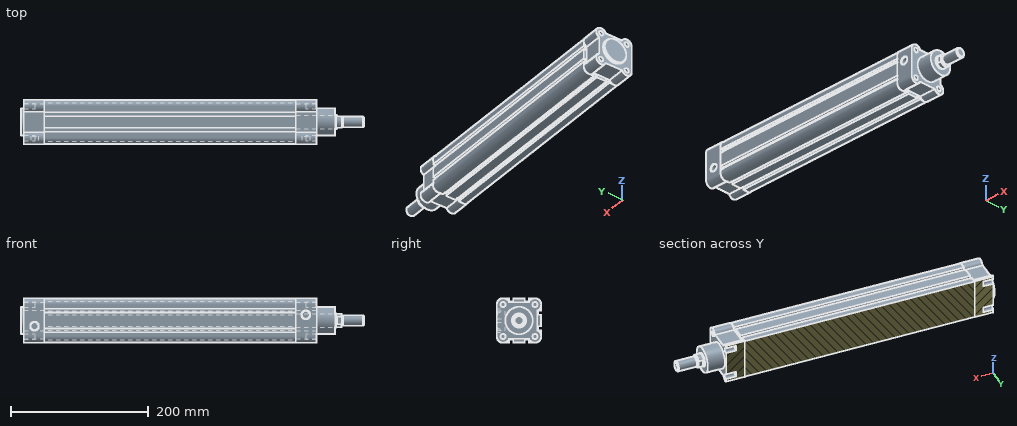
import cadquery as cq


body_size = 65.0
body_length = 426.0
cap_length = 30.0
barrel_size = 64.4
barrel_length = body_length - 2 * cap_length
rod_shoulder_reach = 36.5
rod_reach = 69.0
front_face_x = body_length
shoulder_x = front_face_x + rod_shoulder_reach
rod_end_x = front_face_x + rod_reach

half_size = body_size / 2
half_barrel = barrel_size / 2

bolt_pitch = 46.5
corner_radius = (body_size - bolt_pitch) / 2
bolt_hole_diameter = 7.5
bolt_hole_depth = 16.0
cap_recess_depth = 5.6
core_half = half_size - cap_recess_depth

boss_diameter = 40.0
rear_boss_length = 4.0
front_boss_length = 27.0
rear_boss_chamfer = 0.6
wiper_lip_diameter = 20.8
wiper_lip_length = 1.5

port_diameter = 11.4
port_depth = 12.0
port_offset_x = 15.7
port_offset_z = 8.25
port_chamfer = 0.8

slot_depth = 4.2
slot_inner = 8.6
slot_outer = 14.2
port_side_slot_inner = 11.2
port_side_slot_outer = 17.3
port_side_floor_inner = 12.2

rod_diameter = 20.0
wrench_flat_width = 17.0
wrench_flat_length = 6.5
neck_diameter = 14.0
neck_length = 1.6
thread_diameter = 16.0
thread_start_chamfer = 1.0
thread_end_chamfer = 1.5


def x_cylinder(diameter, start_x, end_x, y=0.0, z=0.0):
    """Cylinder along X from start_x to end_x."""
    plane = cq.Workplane("YZ", origin=(start_x, y, z))
    return plane.circle(diameter / 2).extrude(end_x - start_x)


def box_between(x_range, y_range, z_range):
    """Box given by its limits along each axis."""
    sizes = [high - low for low, high in (x_range, y_range, z_range)]
    corner = (x_range[0], y_range[0], z_range[0])
    return cq.Workplane("XY").box(*sizes, centered=False).translate(corner)


def make_cap_block(start_x):
    """Core with four round corner lobes; flat on the -Y face and recessed on the other three."""
    x_range = (start_x, start_x + cap_length)
    block = box_between(x_range, (-core_half, core_half), (-core_half, core_half))
    half_pitch = bolt_pitch / 2
    block = block.union(box_between(x_range, (-half_size, 0), (-half_pitch, half_pitch)))
    for y in (-half_pitch, half_pitch):
        for z in (-half_pitch, half_pitch):
            block = block.union(x_cylinder(2 * corner_radius, *x_range, y, z))
    return block


def drill_bolt_holes(cap, start_x, end_x):
    """Four bolt holes along X from start_x to end_x."""
    for y in (-bolt_pitch / 2, bolt_pitch / 2):
        for z in (-bolt_pitch / 2, bolt_pitch / 2):
            cap = cap.cut(x_cylinder(bolt_hole_diameter, start_x, end_x, y, z))
    return cap


def drill_port(cap, x, z):
    """Blind, chamfered air port in the -Y face."""
    plane = cq.Workplane("XZ", origin=(x, -half_size, z))
    hole = plane.circle(port_diameter / 2).extrude(-port_depth)
    mouth = plane.circle(port_diameter / 2 + port_chamfer).extrude(-port_chamfer, taper=45)
    return cap.cut(hole).cut(mouth)


def make_rear_cap():
    cap = make_cap_block(0)
    boss = x_cylinder(boss_diameter, -rear_boss_length, cap_length)
    cap = cap.union(boss.faces("<X").chamfer(rear_boss_chamfer))
    cap = drill_bolt_holes(cap, 0, bolt_hole_depth)
    return drill_port(cap, port_offset_x, -port_offset_z)


def make_front_cap():
    inner_x = front_face_x - cap_length
    boss_end_x = front_face_x + front_boss_length
    cap = make_cap_block(inner_x)
    cap = cap.union(x_cylinder(boss_diameter, inner_x, boss_end_x))
    lip_end_x = boss_end_x + wiper_lip_length
    cap = cap.union(x_cylinder(wiper_lip_diameter, boss_end_x, lip_end_x))
    cap = drill_bolt_holes(cap, front_face_x - bolt_hole_depth, front_face_x)
    cap = drill_port(cap, front_face_x - port_offset_x, port_offset_z)
    return cap.cut(x_cylinder(rod_diameter, inner_x, lip_end_x))


def make_straight_slot():
    """Square-walled slot in the +Z face, on its +Y half."""
    x_range = (cap_length, cap_length + barrel_length)
    return box_between(x_range, (slot_inner, slot_outer), (half_barrel - slot_depth, half_barrel))


def make_sloped_slot():
    """Slot in the -Y face, on its +Z half, with a sloped inner wall."""
    floor_y = -half_barrel + slot_depth
    profile = [
        (-half_barrel, port_side_slot_inner),
        (-half_barrel, port_side_slot_outer),
        (floor_y, port_side_slot_outer),
        (floor_y, port_side_floor_inner),
    ]
    plane = cq.Workplane("YZ", origin=(cap_length, 0, 0))
    return plane.polyline(profile).close().extrude(barrel_length)


def make_barrel():
    """Extruded profile with two sensor slots along each face."""
    x_range = (cap_length, cap_length + barrel_length)
    barrel = box_between(x_range, (-half_barrel, half_barrel), (-half_barrel, half_barrel))
    barrel = barrel.edges("|X").fillet(corner_radius)
    for angle in (0, -90, -180):
        slot = make_straight_slot()
        slot_pair = slot.union(slot.mirror("XZ"))
        barrel = barrel.cut(slot_pair.rotate((0, 0, 0), (1, 0, 0), angle))
    sloped_slot = make_sloped_slot()
    return barrel.cut(sloped_slot).cut(sloped_slot.mirror("XY"))


def make_rod():
    """Rod seated in the front cap, with wrench flats, a neck and a threaded end."""
    start_x = front_face_x - cap_length
    rod = x_cylinder(rod_diameter, start_x, shoulder_x)
    flat_x = (shoulder_x - wrench_flat_length, shoulder_x)
    flat_z = (-rod_diameter, rod_diameter)
    for y_range in (
        (wrench_flat_width / 2, rod_diameter),
        (-rod_diameter, -wrench_flat_width / 2),
    ):
        rod = rod.cut(box_between(flat_x, y_range, flat_z))
    thread_start_x = shoulder_x + neck_length
    neck = x_cylinder(neck_diameter, shoulder_x, thread_start_x)
    thread = x_cylinder(thread_diameter, thread_start_x, rod_end_x)
    thread = thread.faces("<X").chamfer(thread_start_chamfer)
    thread = thread.faces(">X").chamfer(thread_end_chamfer)
    return rod.union(neck).union(thread)


rear_cap = make_rear_cap()
front_cap = make_front_cap()
barrel = make_barrel()
rod = make_rod()

result = cq.Compound.makeCompound([rear_cap.val(), barrel.val(), front_cap.val(), rod.val()])